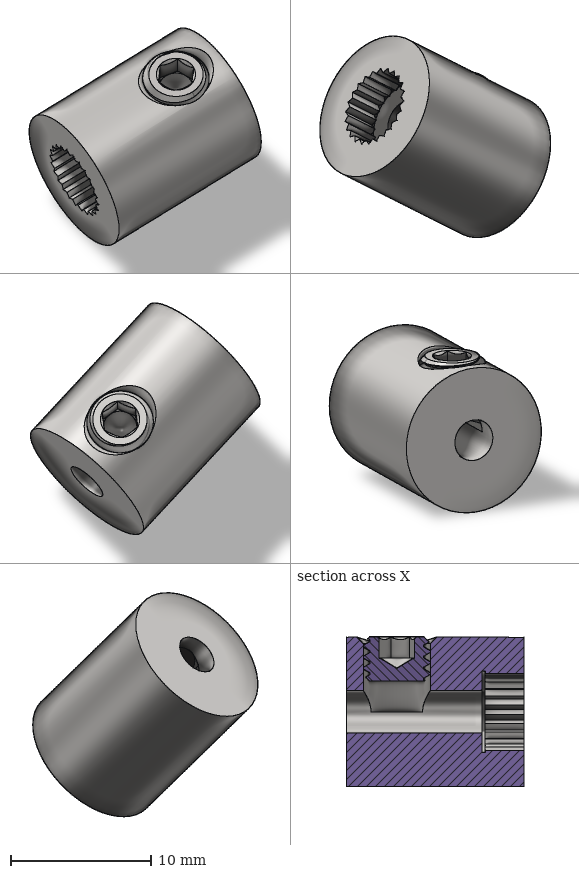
import cadquery as cq
import math

length = 12.7
outer_radius = 5.35
bore_radius = 1.5
overshoot = 0.13
groove_overshoot = 0.04

tooth_count = 24
tooth_tip_radius = 2.88
tooth_root_radius = 2.57
tooth_angle = 3.5
tooth_length = 2.8
socket_depth = 3.0

screw_y = 2.74
screw_top = 5.36
screw_length = 3.18
screw_radius = 2.37
screw_end_radius = 1.94
screw_chamfer = screw_radius - screw_end_radius
screw_bottom = screw_top - screw_length

thread_pitch = 0.79
thread_depth = 0.45
thread_root_width = 0.1
thread_flank_angle = 30.0
thread_crest_drop = 0.08

hex_flats = 2.39
hex_turn = 18.0
hex_depth = 1.52
hex_mouth_radius = 1.4
drill_point_angle = 118.0

countersink_radius = 2.86


def cylinder_z(radius, bottom, top):
    """Cylinder on the Z axis."""
    return cq.Workplane("XY").workplane(offset=bottom).circle(radius).extrude(top - bottom)


def cone_z(bottom_radius, top_radius, bottom, top):
    """Cone or cone frustum on the Z axis."""
    return cq.Workplane(cq.Solid.makeCone(bottom_radius, top_radius, top - bottom, pnt=cq.Vector(0, 0, bottom)))


def polar(radius, degrees):
    angle = math.radians(degrees)
    return radius * math.cos(angle), radius * math.sin(angle)


def toothed_socket():
    """Ring of pointed teeth, cut inward from the -Y end, with a round recess behind it."""
    pitch_angle = 360 / tooth_count
    outline = []
    for i in range(tooth_count):
        tip_angle = tooth_angle + i * pitch_angle
        outline.append(polar(tooth_tip_radius, tip_angle))
        outline.append(polar(tooth_root_radius, tip_angle + pitch_angle / 2))
    end_face = cq.Workplane("XZ", origin=(0, -length / 2, 0))
    teeth = end_face.polyline(outline).close().extrude(-tooth_length)
    recess = end_face.workplane(offset=-tooth_length).circle(tooth_tip_radius).extrude(tooth_length - socket_depth)
    return teeth.union(recess)


def screw_hole():
    """Countersunk hole from the crown of the housing down into the bore."""
    rim_radius = countersink_radius + overshoot
    rim_height = outer_radius + overshoot
    countersink_depth = rim_radius - screw_radius
    hole = cylinder_z(screw_radius, 0, rim_height)
    countersink = cone_z(screw_radius, rim_radius, rim_height - countersink_depth, rim_height)
    return hole.union(countersink).translate((0, screw_y, 0))


def make_housing():
    body = cq.Workplane("XZ").circle(outer_radius).extrude(length / 2, both=True)
    bore = cq.Workplane("XZ").circle(bore_radius).extrude(length / 2, both=True)
    return body.cut(bore).cut(toothed_socket()).cut(screw_hole())


def thread_groove():
    """Helical groove that starts below the screw and runs out above it.

    Four helices trace the corners of the groove section. Ruled faces join
    neighbouring helices and a flat face closes each end.
    """
    root_radius = screw_radius - thread_depth
    mouth_radius = screw_radius + groove_overshoot
    root_half = thread_root_width / 2
    mouth_half = root_half + (mouth_radius - root_radius) * math.tan(math.radians(thread_flank_angle))
    turns = math.ceil(screw_length / thread_pitch) + 2
    start = screw_top - thread_crest_drop + thread_pitch * (1.5 - turns)
    corners = [
        (root_radius, -root_half),
        (mouth_radius, -mouth_half),
        (mouth_radius, mouth_half),
        (root_radius, root_half),
    ]
    helices = [
        cq.Wire.makeHelix(thread_pitch, turns * thread_pitch, radius, center=cq.Vector(0, 0, start + rise))
        for radius, rise in corners
    ]
    faces = [cq.Face.makeRuledSurface(helices[i - 1], helix) for i, helix in enumerate(helices)]
    for end in (0, 1):
        outline = cq.Wire.makePolygon([helix.positionAt(end) for helix in helices], close=True)
        faces.append(cq.Face.makeFromWires(outline))
    return cq.Workplane(cq.Solid.makeSolid(cq.Shell.makeShell(faces)).fix())


def key_socket():
    """Hexagonal socket with a chamfered mouth and a drill-point floor."""
    floor = screw_top - hex_depth
    drill_radius = hex_flats / 2
    corner_diameter = hex_flats / math.cos(math.radians(30))
    point_depth = drill_radius / math.tan(math.radians(drill_point_angle / 2))
    hexagon = (
        cq.Workplane("XY")
        .workplane(offset=floor)
        .transformed(rotate=(0, 0, hex_turn))
        .polygon(6, corner_diameter)
        .extrude(hex_depth)
    )
    mouth_depth = hex_mouth_radius - drill_radius
    mouth = cone_z(drill_radius, hex_mouth_radius, screw_top - mouth_depth, screw_top)
    drill_point = cone_z(0, drill_radius, floor - point_depth, floor)
    return hexagon.union(mouth).union(drill_point)


def make_set_screw():
    """Thread a rod longer than the screw, then trim it to the chamfered screw blank."""
    spare_length = 2 * thread_pitch
    rod = cylinder_z(screw_radius, screw_bottom - spare_length, screw_top + spare_length)
    blank = cylinder_z(screw_radius, screw_bottom, screw_top).faces("<Z or >Z").chamfer(screw_chamfer)
    screw = rod.cut(thread_groove()).intersect(blank).cut(key_socket())
    return screw.translate((0, screw_y, 0))


housing = make_housing()
set_screw = make_set_screw()

result = cq.Compound.makeCompound([housing.val(), set_screw.val()])